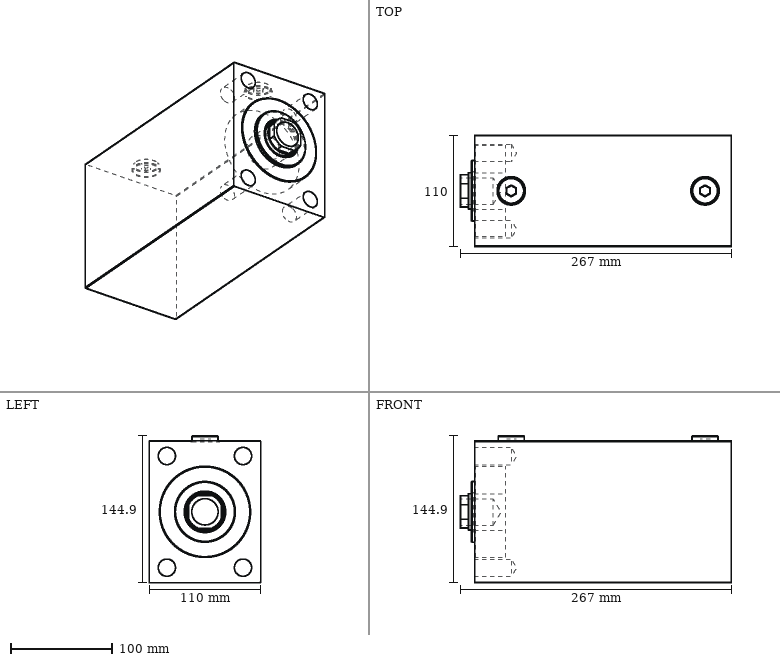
import cadquery as cq
import math


housing_length = 253.0
housing_width = 110.0
housing_height = 140.0
edge_chamfer = 0.7

mount_spacing_y = 75.0
mount_spacing_z = 110.0
mount_diameter = 17.0
mount_depth = 36.0
drill_point_angle = 118.0

gland_diameter = 90.0
gland_depth = 30.0
gland_chamfer = 0.8
collar_diameter = 60.0
collar_height = 3.5
collar_chamfer = 0.9
wiper_recess_diameter = 39.0
wiper_recess_depth = 2.0
wiper_recess_chamfer = 1.0

rod_diameter = 36.0
rod_chamfer = 0.5
rod_projection = 14.0
tip_diameter = 35.0
tip_length = 7.5
tip_across_flats = 32.0
rod_hole_diameter = 26.0
rod_hole_depth = 32.0

plug_positions_x = (36.0, 227.0)
plug_diameter = 26.0
plug_projection = 4.9
plug_chamfer = 0.8
hex_across_flats = 9.0
hex_depth = 3.0
hex_lead_in = 0.5
seat_diameter = 28.0
seat_depth = 1.0

top_z = housing_height / 2


def cylinder_x(diameter, x_start, x_end):
    """Cylinder on the rod axis between two X positions."""
    return cq.Workplane("YZ").workplane(offset=x_start).circle(diameter / 2).extrude(x_end - x_start)


def drilled_hole(diameter, x_start, depth):
    """Blind hole along +X on the rod axis, ending in a drill point beyond its full-diameter depth."""
    radius = diameter / 2
    point_length = radius / math.tan(math.radians(drill_point_angle / 2))
    x_end = x_start + depth
    profile = [(x_start, 0), (x_start, radius), (x_end, radius), (x_end + point_length, 0)]
    return cq.Workplane("XY").polyline(profile).close().revolve(360, (0, 0, 0), (1, 0, 0))


def make_housing():
    block = (
        cq.Workplane("XY")
        .box(housing_length, housing_width, housing_height, centered=(False, True, True))
        .edges("|X")
        .chamfer(edge_chamfer)
    )
    block = block.cut(cylinder_x(gland_diameter, 0, gland_depth))

    mount_hole = drilled_hole(mount_diameter, 0, mount_depth)
    for side_y in (-1, 1):
        for side_z in (-1, 1):
            offset = (0, side_y * mount_spacing_y / 2, side_z * mount_spacing_z / 2)
            block = block.cut(mount_hole.translate(offset))

    for x in plug_positions_x:
        seat = cq.Workplane("XY").circle(seat_diameter / 2).extrude(seat_depth)
        block = block.cut(seat.translate((x, 0, top_z - seat_depth)))
    return block


def make_gland():
    flange = cylinder_x(gland_diameter, 0, gland_depth).faces("<X").chamfer(gland_chamfer)
    collar = cylinder_x(collar_diameter, -collar_height, gland_depth).faces("<X").chamfer(collar_chamfer)
    rod_bore = cylinder_x(rod_diameter, -collar_height, gland_depth)
    wiper_recess = cylinder_x(wiper_recess_diameter, -collar_height, wiper_recess_depth - collar_height)
    mouth_diameter = wiper_recess_diameter + 2 * wiper_recess_chamfer
    recess_mouth = (
        cq.Workplane("YZ")
        .workplane(offset=-collar_height)
        .circle(mouth_diameter / 2)
        .extrude(wiper_recess_chamfer, taper=45)
    )
    return flange.union(collar).cut(rod_bore).cut(wiper_recess).cut(recess_mouth)


def make_rod():
    tip_start = -rod_projection
    shoulder = tip_start + tip_length
    body = cylinder_x(rod_diameter, shoulder, gland_depth).faces("<X").chamfer(rod_chamfer)
    square = (
        cq.Workplane("YZ")
        .workplane(offset=tip_start)
        .rect(tip_across_flats, tip_across_flats)
        .extrude(tip_length)
    )
    tip = cylinder_x(tip_diameter, tip_start, shoulder).intersect(square)
    return body.union(tip).cut(drilled_hole(rod_hole_diameter, tip_start, rod_hole_depth))


def hex_prism(across_flats, height, taper=0):
    """Hexagonal prism on Z = 0 with two corners along Y; a negative taper widens it upward."""
    circumdiameter = across_flats / math.cos(math.pi / 6)
    outline = cq.Workplane("XY").transformed(rotate=(0, 0, 90)).polygon(6, circumdiameter)
    return outline.extrude(height, taper=taper)


def make_plug(x):
    height = seat_depth + plug_projection
    head = cq.Workplane("XY").circle(plug_diameter / 2).extrude(height).faces(">Z").chamfer(plug_chamfer)
    socket = hex_prism(hex_across_flats, hex_depth)
    lead_in = hex_prism(hex_across_flats, hex_lead_in, taper=-45)
    head = head.cut(socket.translate((0, 0, height - hex_depth)))
    head = head.cut(lead_in.translate((0, 0, height - hex_lead_in)))
    return head.translate((x, 0, top_z - seat_depth))


housing = make_housing()
gland = make_gland()
rod = make_rod()
plugs = [make_plug(x) for x in plug_positions_x]

result = cq.Compound.makeCompound([housing.val(), gland.val(), rod.val(), *[plug.val() for plug in plugs]])